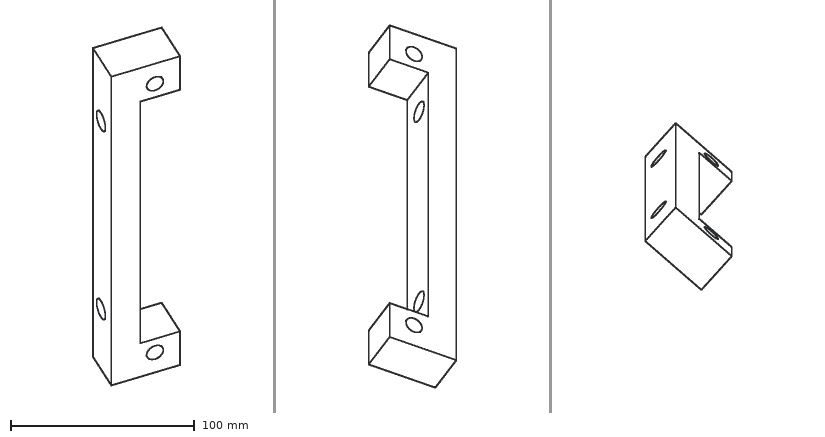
import cadquery as cq

width = 25.0
depth = 41.0
height = 230.0

bar_thickness = 17.2
foot_height = width

bar_hole_diameter = 12.0
bar_hole_spacing = 140.0
bar_hole_from_left = 11.0

foot_hole_diameter = 10.0
foot_hole_spacing = 200.0
foot_hole_from_back = 15.0


def make_body():
    """Block with its front left corner at the origin, centred in Z, with the gap between the feet removed."""
    block = cq.Workplane("XY").box(width, depth, height, centered=(False, False, True))
    gap = (
        cq.Workplane("XY")
        .box(width, depth - bar_thickness, height - 2 * foot_height, centered=(False, False, True))
        .translate((0, bar_thickness, 0))
    )
    return block.cut(gap)


def drill_pair(body, start_x, start_y, direction, diameter, length, spacing):
    """Drill two through holes placed symmetrically above and below mid-height."""
    for z in (-spacing / 2, spacing / 2):
        start = cq.Vector(start_x, start_y, z)
        body = body.cut(cq.Workplane(cq.Solid.makeCylinder(diameter / 2, length, start, direction)))
    return body


result = make_body()
result = drill_pair(
    result, bar_hole_from_left, 0, cq.Vector(0, 1, 0),
    bar_hole_diameter, bar_thickness, bar_hole_spacing,
)
result = drill_pair(
    result, 0, depth - foot_hole_from_back, cq.Vector(1, 0, 0),
    foot_hole_diameter, width, foot_hole_spacing,
)